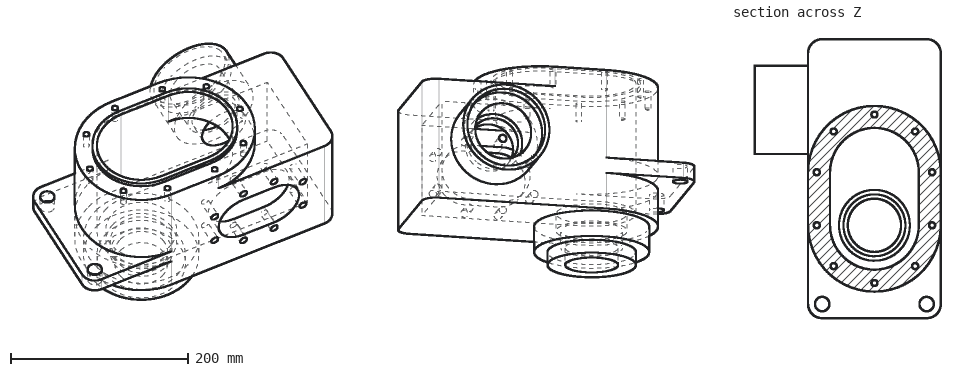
import cadquery as cq
import math

width = 150.0
length = 315.0
housing_height = 140.0
corner_radius = 16.0
flange_bottom = 42.0
flange_thickness = 18.0

tower_height = 163.0
tower_straight = 60.0
front_axis_y = 105.0
rear_axis_y = front_axis_y + tower_straight
tower_mid_y = (front_axis_y + rear_axis_y) / 2
rim_height = 5.0
rim_width = 110.2
rim_top = tower_height + rim_height

chamber_width = 100.0
wall = (width - chamber_width) / 2
chamber_roof = 121.0
chamber_floor = 15.0
chamber_rear_y = length - wall

upper_spigot_diameter = 130.0
upper_spigot_depth = 30.0
lower_spigot_diameter = 100.0
lower_spigot_depth = 15.0
spigot_bottom = -upper_spigot_depth - lower_spigot_depth
vertical_bore_steps = [(80.0, 20.2), (70.0, 40.0)]
vertical_bore_diameter = 60.0

tube_diameter = 100.0
tube_length = 60.2
tube_y = 235.0
tube_z = 70.0
tube_tip_x = -width / 2 - tube_length
tube_recess_diameter = 90.0
tube_recess_depth = 15.0
tube_bore_diameter = 65.0
tube_lip_diameter = 55.0

window_height = 63.0
window_front_y = 196.2
window_rear_y = tube_y
window_bolt_circle = 84.0
window_bolt_diameter = 8.5
window_bolts_per_end = 4

rim_bolt_diameter = 6.5
rim_bolt_depth = 20.2
rim_bolt_circle = 130.0
rim_bolts_per_end = 5
drill_point_angle = 118
mount_hole_diameter = 16.0


def upright_cylinder(diameter, bottom, top, y):
    base = cq.Workplane("XY", origin=(0, y, bottom))
    return base.circle(diameter / 2).extrude(top - bottom)


def side_cylinder(diameter, start_x, end_x, y, z):
    base = cq.Workplane("YZ", origin=(start_x, y, z))
    return base.circle(diameter / 2).extrude(end_x - start_x)


def round_ended(slot_width, bottom, top):
    base = cq.Workplane("XY", origin=(0, tower_mid_y, bottom))
    return base.slot2D(tower_straight + slot_width, slot_width, 90).extrude(top - bottom)


def block(block_width, front, rear, bottom, top):
    base = cq.Workplane("XY", origin=(0, (front + rear) / 2, bottom))
    return base.rect(block_width, rear - front).extrude(top - bottom)


def half_circle_points(center_a, center_b, diameter, first_angle, count):
    """Points evenly spaced over half a circle, both ends included."""
    angles = [math.radians(first_angle + 180 * i / (count - 1)) for i in range(count)]
    radius = diameter / 2
    return [(center_a + radius * math.cos(a), center_b + radius * math.sin(a)) for a in angles]


def drilled_hole():
    """Cutter for one rim bolt hole, with its mouth at the origin."""
    radius = rim_bolt_diameter / 2
    point_depth = radius / math.tan(math.radians(drill_point_angle / 2))
    profile = cq.Workplane("XZ").moveTo(0, 0).lineTo(radius, 0).lineTo(radius, -rim_bolt_depth)
    profile = profile.lineTo(0, -rim_bolt_depth - point_depth).close()
    return profile.revolve(360, (0, 0, 0), (0, 1, 0))


rear_block = block(width, front_axis_y, length, 0, housing_height).edges("|Z and >Y").fillet(corner_radius)
flange = block(width, 0, rear_axis_y, flange_bottom, flange_bottom + flange_thickness)
flange = flange.edges("|Z and <Y").fillet(corner_radius)
body = rear_block.union(flange)
body = body.union(round_ended(width, 0, tower_height))
body = body.union(round_ended(rim_width, tower_height, rim_top))
body = body.union(upright_cylinder(upper_spigot_diameter, -upper_spigot_depth, 0, front_axis_y))
body = body.union(upright_cylinder(lower_spigot_diameter, spigot_bottom, 0, front_axis_y))
body = body.union(side_cylinder(tube_diameter, tube_tip_x, -chamber_width / 2, tube_y, tube_z))

body = body.cut(round_ended(chamber_width, chamber_floor, rim_top))
body = body.cut(block(chamber_width, rear_axis_y, chamber_rear_y, chamber_floor, chamber_roof))

for diameter, depth in vertical_bore_steps:
    body = body.cut(upright_cylinder(diameter, chamber_floor - depth, chamber_floor, front_axis_y))
body = body.cut(upright_cylinder(vertical_bore_diameter, spigot_bottom, chamber_floor, front_axis_y))

recess_end_x = tube_tip_x + tube_recess_depth
body = body.cut(side_cylinder(tube_recess_diameter, tube_tip_x, recess_end_x, tube_y, tube_z))
body = body.cut(side_cylinder(tube_bore_diameter, tube_tip_x, -width / 2, tube_y, tube_z))
body = body.cut(side_cylinder(tube_lip_diameter, -width / 2, 0, tube_y, tube_z))

for end_y in (window_front_y, window_rear_y):
    body = body.cut(side_cylinder(window_height, 0, width / 2, end_y, tube_z))
window_bottom = tube_z - window_height / 2
window_middle = block(width / 2, window_front_y, window_rear_y, window_bottom, window_bottom + window_height)
body = body.cut(window_middle.translate((width / 4, 0, 0)))

for end_y, first_angle in ((window_front_y, 90), (window_rear_y, -90)):
    for y, z in half_circle_points(end_y, tube_z, window_bolt_circle, first_angle, window_bolts_per_end):
        body = body.cut(side_cylinder(window_bolt_diameter, 0, width / 2, y, z))

for axis_y, first_angle in ((rear_axis_y, 0), (front_axis_y, 180)):
    for x, y in half_circle_points(0, axis_y, rim_bolt_circle, first_angle, rim_bolts_per_end):
        body = body.cut(drilled_hole().translate((x, y, tower_height)))

for side in (-1, 1):
    hole = cq.Workplane("XY", origin=(side * (width / 2 - corner_radius), corner_radius, flange_bottom))
    body = body.cut(hole.circle(mount_hole_diameter / 2).extrude(flange_thickness))

result = body